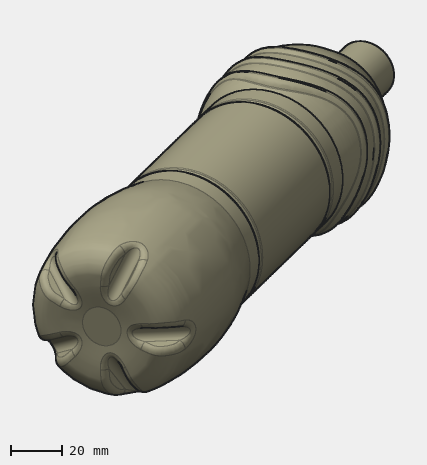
import cadquery as cq
import math


total_length = 243.99
neck_length = 21.5
neck_base_y = total_length - neck_length
shoulder_base_y = 155.0
waist_base_y = 70.0

neck_radius = 12.1
label_radius = 31.8
base_disc_radius = 8.3

shoulder_points = [(35.4, 164.0), (36.2, 177.0), (34.2, 191.5), (24.1, 210.0)]
shoulder_start_direction = (0.6, 1)
shoulder_end_direction = (-1, 1)

foot_points = [(base_disc_radius, 1.5), (22.0, 0), (30.8, 4.8), (34.0, 14.0), (36.3, 40.0)]
foot_directions = [(1, -0.15), (1, 0), (1, 1.1), (0.2, 1), (0, 1)]
foot_end_direction = (-0.3, 1)
base_recess = foot_points[0][1]

groove_centres_y = (144.7, 79.8)
groove_depth = 1.0
groove_width = 2.4
groove_lip_fillet = 0.6

wave_count = 3
wave_amplitude = 4.7
ridges = [(186.2, 4.4), (175.8, 3.8), (165.0, 3.8)]
ridge_belly_radius = 37.28
ridge_belly_y = 176.3
ridge_arc_radius = 70.0
ridge_fillet = 0.7
points_per_wave = 8
guide_offset = 10.0

notch_count = 5
notch_radius = 3.2
notch_inner = (12.7, 1.2)
notch_outer = (34.5, 14.0)
notch_flare = 22.0
notch_depth = 25.0
notch_overrun = 15.0
notch_fillet = 3.0


def bottle_body():
    profile = (
        cq.Workplane("XY")
        .moveTo(0, base_recess)
        .lineTo(base_disc_radius, base_recess)
        .spline(
            foot_points[1:] + [(label_radius, waist_base_y)],
            tangents=foot_directions + [foot_end_direction],
            includeCurrent=True,
        )
        .lineTo(label_radius, shoulder_base_y)
        .spline(
            shoulder_points + [(neck_radius, neck_base_y)],
            tangents=[shoulder_start_direction, shoulder_end_direction],
            includeCurrent=True,
        )
        .lineTo(neck_radius, total_length)
        .lineTo(0, total_length)
        .close()
    )
    return profile.revolve(360, (0, 0, 0), (0, 1, 0)).rotate((0, 0, 0), (0, 1, 0), 180)


def label_groove(centre_y):
    """Ring that cuts one rounded groove into the label panel."""
    half = groove_width / 2
    return (
        cq.Workplane("XY")
        .moveTo(label_radius, centre_y - half)
        .threePointArc((label_radius - groove_depth, centre_y), (label_radius, centre_y + half))
        .lineTo(label_radius + groove_depth, centre_y + half)
        .lineTo(label_radius + groove_depth, centre_y - half)
        .close()
        .revolve(360, (0, 0, 0), (0, 1, 0))
    )


def is_groove_lip(edge, centre_y):
    """True for the circles of a groove, where it meets the label panel."""
    on_groove = abs(edge.Center().y - centre_y) < groove_width
    return on_groove and edge.geomType() == "CIRCLE"


def wave_rise(angle):
    return wave_amplitude * math.sin(wave_count * angle)


def wavy_ridge(mean_y, tube_radius):
    """Closed tube that snakes around the shoulder, mostly sunk below its surface."""

    def wave_wire(depth):
        points = []
        for index in range(wave_count * points_per_wave):
            angle = 2 * math.pi * index / (wave_count * points_per_wave)
            y = mean_y + wave_rise(angle)
            crest_drop = ridge_arc_radius - math.sqrt(ridge_arc_radius**2 - (y - ridge_belly_y) ** 2)
            radius = ridge_belly_radius - crest_drop - depth
            points.append(cq.Vector(radius * math.cos(angle), y, radius * math.sin(angle)))
        return cq.Wire.assembleEdges([cq.Edge.makeSpline(points, periodic=True)])

    path = wave_wire(tube_radius)
    guide = wave_wire(tube_radius + guide_offset)
    section = cq.Plane(path.startPoint(), xDir=(1, 0, 0), normal=path.tangentAt(0))
    return (
        cq.Workplane(section)
        .circle(tube_radius)
        .sweep(cq.Workplane(path), auxSpine=cq.Workplane(guide))
    )


def is_ridge_foot(edge, mean_y, tube_radius):
    """True for the edge where the lower flank of a ridge meets the shoulder."""
    for position in (0, 0.5, 1):
        point = edge.positionAt(position)
        drop = mean_y + wave_rise(math.atan2(point.z, point.x)) - point.y
        if not 0 < drop < tube_radius:
            return False
    return True


def foot_notch(angle):
    """Round-rooted, flared slot whose root line climbs from the base to the foot wall."""
    rise = math.atan2(notch_outer[1] - notch_inner[1], notch_outer[0] - notch_inner[0])
    along = cq.Vector(math.cos(rise), math.sin(rise), 0)
    outward = cq.Vector(math.sin(rise), -math.cos(rise), 0)
    start = cq.Vector(*notch_inner) - along * notch_overrun
    length = math.dist(notch_inner, notch_outer) + 2 * notch_overrun
    flare = math.radians(notch_flare)
    wall_depth = notch_radius * (1 - math.sin(flare))
    wall_half_width = notch_radius * math.cos(flare)
    mouth_half_width = wall_half_width + (notch_depth - wall_depth) * math.tan(flare)
    slot = (
        cq.Workplane(cq.Plane(start, xDir=outward, normal=along))
        .moveTo(wall_depth, -wall_half_width)
        .threePointArc((0, 0), (wall_depth, wall_half_width))
        .lineTo(notch_depth, mouth_half_width)
        .lineTo(notch_depth, -mouth_half_width)
        .close()
        .extrude(length)
    )
    return slot.rotate((0, 0, 0), (0, 1, 0), angle)


def is_notch_rim(edge):
    """True for the freely curved edges where a notch breaks the foot surface."""
    return edge.geomType() not in ("LINE", "CIRCLE")


result = bottle_body()

for index in range(notch_count):
    result = result.cut(foot_notch(index * 360 / notch_count))
result = result.edges().filter(is_notch_rim).fillet(notch_fillet)

for ridge_y, ridge_tube_radius in ridges:
    result = result.union(wavy_ridge(ridge_y, ridge_tube_radius))
    lower_edges = result.edges().filter(lambda edge: is_ridge_foot(edge, ridge_y, ridge_tube_radius))
    result = lower_edges.fillet(ridge_fillet)

for groove_y in groove_centres_y:
    result = result.cut(label_groove(groove_y))
    lips = result.edges().filter(lambda edge: is_groove_lip(edge, groove_y))
    result = lips.fillet(groove_lip_fillet)